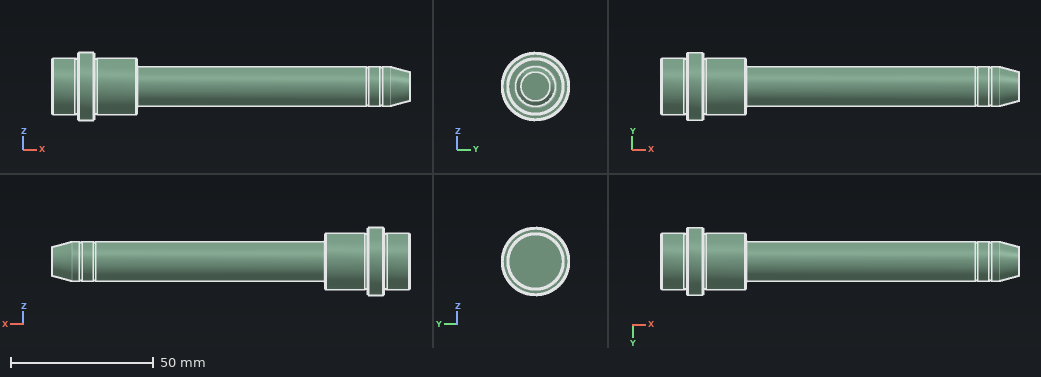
import cadquery as cq
import math


total_length = 126.0
flange_diameter = 24.0
seat_diameter = 20.0
shaft_diameter = 14.0

head_end = 8.1
flange_end = 15.0
seat_end = 30.0
ring_groove_starts = (110.5, 115.4)
taper_start = 119.0

chamfer = 0.5
groove_width = 1.0
groove_depth = 0.32
shaft_root_fillet = 0.4
taper_angle = 15.0

flange_radius = flange_diameter / 2
seat_radius = seat_diameter / 2
shaft_radius = shaft_diameter / 2
flange_start = head_end + groove_width
tip_radius = shaft_radius - (total_length - taper_start) * math.tan(math.radians(taper_angle))


def round_groove(profile, start, radius):
    """Dip the profile in a shallow arc, one groove width long, from the given start."""
    middle = start + groove_width / 2
    end = start + groove_width
    return profile.lineTo(start, radius).threePointArc((middle, radius - groove_depth), (end, radius))


profile = cq.Workplane("XY").moveTo(0, 0).lineTo(0, seat_radius - chamfer).lineTo(chamfer, seat_radius)
profile = round_groove(profile, head_end, seat_radius)

profile = (
    profile.lineTo(flange_start, flange_radius - chamfer)
    .lineTo(flange_start + chamfer, flange_radius)
    .lineTo(flange_end - chamfer, flange_radius)
    .lineTo(flange_end, flange_radius - chamfer)
)

profile = round_groove(profile, flange_end, seat_radius)
profile = (
    profile.lineTo(seat_end - chamfer, seat_radius)
    .lineTo(seat_end, seat_radius - chamfer)
    .lineTo(seat_end, shaft_radius + shaft_root_fillet)
    .radiusArc((seat_end + shaft_root_fillet, shaft_radius), -shaft_root_fillet)
)

for groove_start in ring_groove_starts:
    profile = round_groove(profile, groove_start, shaft_radius)

profile = profile.lineTo(taper_start, shaft_radius).lineTo(total_length, tip_radius).lineTo(total_length, 0)

result = profile.close().revolve(360, (0, 0, 0), (1, 0, 0))